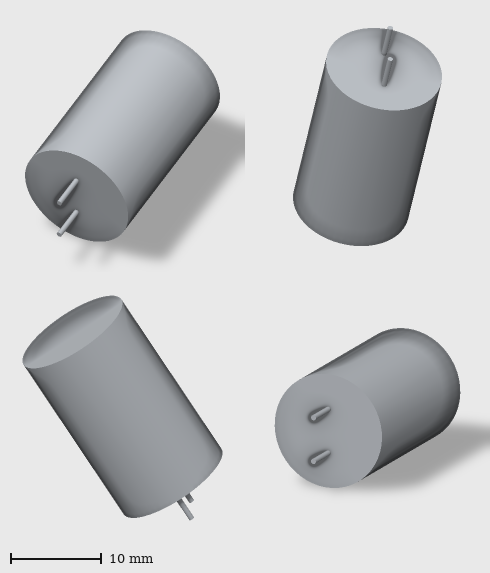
import cadquery as cq

total_length = 25.0
lead_length = 4.0
can_length = total_length - lead_length
can_diameter = 13.0
lead_diameter = 0.6
lead_pitch = 5.0


def cylinder_along_y(diameter, length, start_y, center_z):
    """Solid cylinder running from start_y toward +Y."""
    return cq.Workplane(
        cq.Solid.makeCylinder(
            diameter / 2,
            length,
            cq.Vector(0, start_y, center_z),
            cq.Vector(0, 1, 0),
        )
    )


lead_tip_y = -total_length / 2
can_base_y = lead_tip_y + lead_length
result = cylinder_along_y(can_diameter, can_length, can_base_y, 0)

for side in (-1, 1):
    lead_z = side * lead_pitch / 2
    result = result.union(cylinder_along_y(lead_diameter, lead_length, lead_tip_y, lead_z))